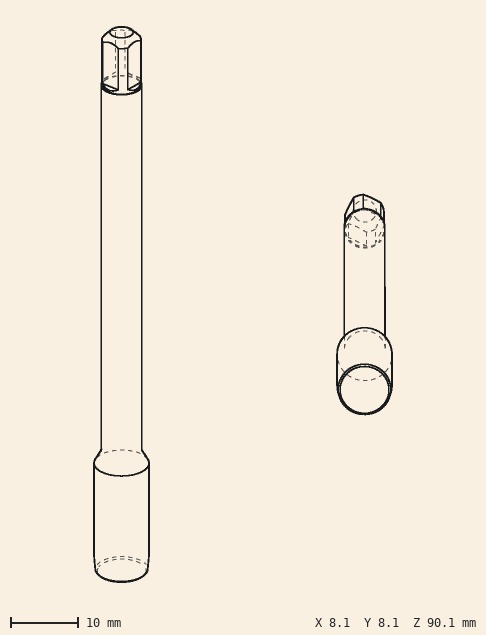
import cadquery as cq

length = 90.1

head_diameter = 8.1
head_length = 18.0
lead_length = 2.3
lead_end_diameter = 7.75
end_chamfer = 0.3

shaft_diameter = 6.0
shoulder_height = 1.9
flare_radius = 0.9
shaft_top = 81.3

drive_diameter = 5.8
drive_across_flats = 5.0
drive_tip_diameter = 3.4
drive_tip_height = 1.2
flat_bottom = 82.0

edge_margin = 0.1

head_radius = head_diameter / 2
shaft_radius = shaft_diameter / 2
drive_radius = drive_diameter / 2
shoulder_top = head_length + shoulder_height


def revolve_profile(points):
    """Revolve a closed radius-height outline about Z."""
    return cq.Workplane("XZ").polyline(points).close().revolve(360, (0, 0, 0), (0, 1, 0))


def drive_envelope():
    """Square prism that keeps the drive, widening at 45 degrees below the flats."""
    runout = drive_radius - drive_across_flats / 2
    base = cq.Workplane().rect(drive_diameter, drive_diameter).extrude(flat_bottom - runout)
    square = cq.Workplane().rect(drive_across_flats, drive_across_flats).extrude(length)
    slope = (
        cq.Workplane()
        .workplane(offset=flat_bottom - runout)
        .rect(drive_diameter, drive_diameter)
        .workplane(offset=runout)
        .rect(drive_across_flats, drive_across_flats)
        .loft(ruled=True)
    )
    return base.union(slope).union(square)


def make_head():
    lead_radius = lead_end_diameter / 2
    return revolve_profile([
        (0, 0),
        (lead_radius - end_chamfer, 0),
        (lead_radius, end_chamfer),
        (head_radius, lead_length),
        (head_radius, head_length),
        (0, head_length),
    ])


def make_shank():
    shaft = revolve_profile([
        (0, head_length),
        (head_radius, head_length),
        (shaft_radius, shoulder_top),
        (shaft_radius, shaft_top),
        (0, shaft_top),
    ])
    shoulder_edge = cq.selectors.BoxSelector(
        (-head_radius, -head_radius, shoulder_top - edge_margin),
        (head_radius, head_radius, shoulder_top + edge_margin),
        boundingbox=True,
    )
    shaft = shaft.edges(shoulder_edge).fillet(flare_radius)
    drive = revolve_profile([
        (0, shaft_top),
        (drive_radius, shaft_top),
        (drive_radius, length - drive_tip_height),
        (drive_tip_diameter / 2, length),
        (0, length),
    ])
    return shaft.union(drive.intersect(drive_envelope()))


head = make_head()
shank = make_shank()
result = cq.Compound.makeCompound([head.val(), shank.val()])